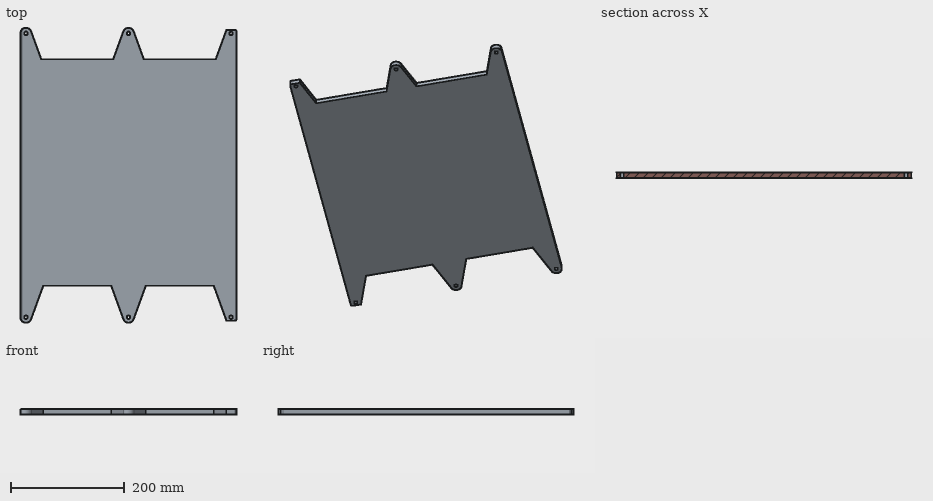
import cadquery as cq
import math

width = 381.0
length = 520.0
thickness = 10.0

tip_radius = 10.0
hole_diameter = 5.5
flank_angle = math.radians(20)
hole_x = width / 2 - tip_radius
hole_y = length / 2 - tip_radius

panel_back_y = 205.0
panel_front_y = -195.0

flat_end_y = 256.5
corner_radius = 3.5

edge_radius = 2.5


def flank_offset(distance):
    """Half width of a lug at a distance from its hole centre toward the panel."""
    return tip_radius / math.cos(flank_angle) + distance * math.tan(flank_angle)


def lug(x, side, panel_y):
    """Tapered lug at x; side is +1 at the back and -1 at the front."""
    base_half = flank_offset(hole_y - abs(panel_y))
    tangent_x = tip_radius * math.cos(flank_angle)
    tangent_y = side * (hole_y + tip_radius * math.sin(flank_angle))
    return (
        cq.Workplane("XY")
        .moveTo(x - base_half, panel_y)
        .lineTo(x - tangent_x, tangent_y)
        .threePointArc((x, side * length / 2), (x + tangent_x, tangent_y))
        .lineTo(x + base_half, panel_y)
        .lineTo(x + base_half, 0)
        .lineTo(x - base_half, 0)
        .close()
        .extrude(thickness)
    )


def flat_lug(side, panel_y):
    """Right-hand lug with a straight outer side, flat end and rounded corner."""
    end_left = hole_x - flank_offset(hole_y - flat_end_y)
    base_left = hole_x - flank_offset(hole_y - abs(panel_y))
    right = width / 2
    return (
        cq.Workplane("XY")
        .moveTo(base_left, panel_y)
        .lineTo(end_left, side * flat_end_y)
        .lineTo(right, side * flat_end_y)
        .lineTo(right, 0)
        .lineTo(base_left, 0)
        .close()
        .extrude(thickness)
        .edges(cq.selectors.NearestToPointSelector((right, side * flat_end_y, thickness / 2)))
        .fillet(corner_radius)
    )


panel_length = panel_back_y - panel_front_y
result = (
    cq.Workplane("XY")
    .center(0, (panel_back_y + panel_front_y) / 2)
    .rect(width, panel_length)
    .extrude(thickness)
)
side_limit = cq.Workplane("XY").rect(width, length).extrude(thickness)
for side, panel_y in ((1, panel_back_y), (-1, panel_front_y)):
    left_strip = (
        cq.Workplane("XY")
        .center(-width / 2 + tip_radius / 2, side * hole_y / 2)
        .rect(tip_radius, hole_y)
        .extrude(thickness)
    )
    left_lug = lug(-hole_x, side, panel_y).intersect(side_limit)
    result = result.union(left_lug).union(left_strip)
    result = result.union(lug(0, side, panel_y)).union(flat_lug(side, panel_y))

hole_points = [(x, y) for x in (-hole_x, 0, hole_x) for y in (-hole_y, hole_y)]
holes = (
    cq.Workplane("XY")
    .pushPoints(hole_points)
    .circle(hole_diameter / 2)
    .extrude(thickness)
)
result = result.cut(holes)

left = -width / 2
mid_arc = edge_radius * (1 - math.sqrt(0.5))
edge_cutter = (
    cq.Workplane("XZ")
    .moveTo(left, thickness)
    .lineTo(left + edge_radius, thickness)
    .threePointArc((left + mid_arc, thickness - mid_arc), (left, thickness - edge_radius))
    .close()
    .extrude(length / 2, both=True)
)
result = result.cut(edge_cutter)